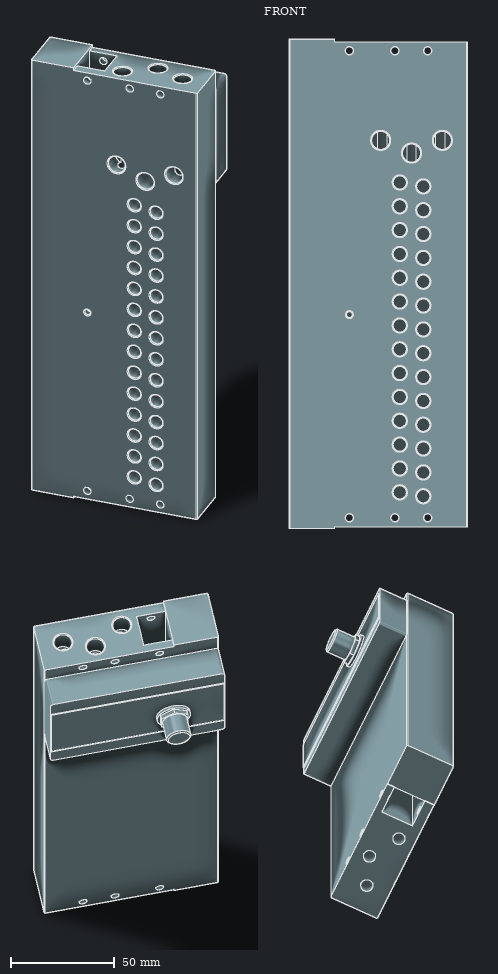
import cadquery as cq
import math

UP = (0, 0, 1)
DOWN = (0, 0, -1)
BACK = (0, 1, 0)

width = 86.0
height = 236.0
block_depth = 25.0
rail_width = 22.0
top_step = 1.5
bottom_step = 0.7
block_edge_chamfer = 0.5
block_top = height - top_step

channel_width = 14.2
channel_front = 5.0
channel_back = 21.2

port_chamfer = 0.5

supply_lines = [
    ((44.1, 8.0), (44.8, 8.0)),
    ((59.0, 17.0), (59.0, 17.0)),
    ((73.9, 11.5), (73.0, 11.8)),
]
supply_port_heights = [187.1, 181.0, 187.1]
socket_diameter = 8.7
socket_depth = 11.8
bore_diameter = 6.0
port_overrun = 2.0

outlet_columns = [(53.3, 17.5), (64.7, 15.5)]
outlet_count = 14
outlet_column_length = 149.5
outlet_pitch = outlet_column_length / (outlet_count - 1)
outlet_diameter = 6.4
outlet_depth = 11.8

mount_hole_xs = [29.0, 51.0, 66.8]
mount_hole_zs = [5.2, 230.3]
mount_hole_diameter = 3.8
fixing_hole_z = 103.1
fixing_hole_diameter = 2.8
fixing_hole_depth = 3.5

box_bottom = 171.8
box_top = 225.4
box_back = 39.5
box_edge_radius = 1.7
plate_bottom = 181.0
plate_top = 216.2
plate_thickness = 0.5
plate_inset = 0.5

connector_x = 25.5
connector_z = 195.6
flange_diameter = 16.5
flange_back = 41.3
nut_across_flats = 13.0
nut_across_corners = nut_across_flats / math.cos(math.pi / 6)
nut_back = 43.5
plug_diameter = 12.0
plug_back = 53.5
plug_chamfer = 0.7


def box_between(x_range, y_range, z_range):
    """Axis-aligned box spanning the given ranges."""
    size = [high - low for low, high in (x_range, y_range, z_range)]
    corner = (x_range[0], y_range[0], z_range[0])
    return cq.Workplane("XY").box(*size, centered=False).translate(corner)


def cylinder(start, direction, diameter, length):
    """Round pin from a start point along a direction."""
    return cq.Workplane(
        cq.Solid.makeCylinder(diameter / 2, length, cq.Vector(*start), cq.Vector(*direction))
    )


def port(mouth, direction, diameter, depth):
    """Cutter for a blind hole whose mouth is chamfered."""
    cone = cq.Solid.makeCone(
        diameter / 2 + port_chamfer, diameter / 2, port_chamfer, cq.Vector(*mouth), cq.Vector(*direction)
    )
    return cylinder(mouth, direction, diameter, depth).union(cq.Workplane(cone))


def make_block():
    rail = box_between((0, rail_width), (0, block_depth), (0, height))
    body = box_between((rail_width, width), (0, block_depth), (bottom_step, block_top))
    channel = box_between(
        (rail_width, rail_width + channel_width), (channel_front, channel_back), (0, height)
    )
    rail = rail.edges("|Z and <X").chamfer(block_edge_chamfer)
    body = body.edges("|Z and >X").chamfer(block_edge_chamfer)
    return rail.union(body).cut(channel)


def cut_supply_lines(block):
    for (socket, bore), port_z in zip(supply_lines, supply_port_heights):
        socket_x, socket_y = socket
        bore_x, bore_y = bore
        block = block.cut(cylinder((bore_x, bore_y, 0), UP, bore_diameter, height))
        block = block.cut(port((socket_x, socket_y, block_top), DOWN, socket_diameter, socket_depth))
        block = block.cut(port((socket_x, 0, port_z), BACK, socket_diameter, bore_y + port_overrun))
    return block


def cut_outlets(block):
    for x, lowest_z in outlet_columns:
        for index in range(outlet_count):
            z = lowest_z + index * outlet_pitch
            block = block.cut(port((x, 0, z), BACK, outlet_diameter, outlet_depth))
    return block


def cut_mounting_holes(block):
    for x in mount_hole_xs:
        for z in mount_hole_zs:
            block = block.cut(cylinder((x, 0, z), BACK, mount_hole_diameter, block_depth))
    return block.cut(
        port((mount_hole_xs[0], 0, fixing_hole_z), BACK, fixing_hole_diameter, fixing_hole_depth)
    )


def make_electronics_box():
    box = box_between((0, width), (block_depth, box_back), (box_bottom, box_top))
    box = box.edges("|Y").fillet(box_edge_radius)
    plate = box_between(
        (plate_inset, width - plate_inset),
        (box_back, box_back + plate_thickness),
        (plate_bottom, plate_top),
    )
    return box.union(plate)


def make_connector():
    flange = cylinder(
        (connector_x, box_back, connector_z), BACK, flange_diameter, flange_back - box_back
    )
    nut_plane = cq.Plane(origin=(connector_x, flange_back, connector_z), xDir=UP, normal=BACK)
    nut = cq.Workplane(nut_plane).polygon(6, nut_across_corners).extrude(nut_back - flange_back)
    plug = cylinder((connector_x, nut_back, connector_z), BACK, plug_diameter, plug_back - nut_back)
    plug = plug.faces(">Y").chamfer(plug_chamfer)
    return flange.union(nut).union(plug)


block = cut_mounting_holes(cut_outlets(cut_supply_lines(make_block())))
result = block.union(make_electronics_box()).union(make_connector())